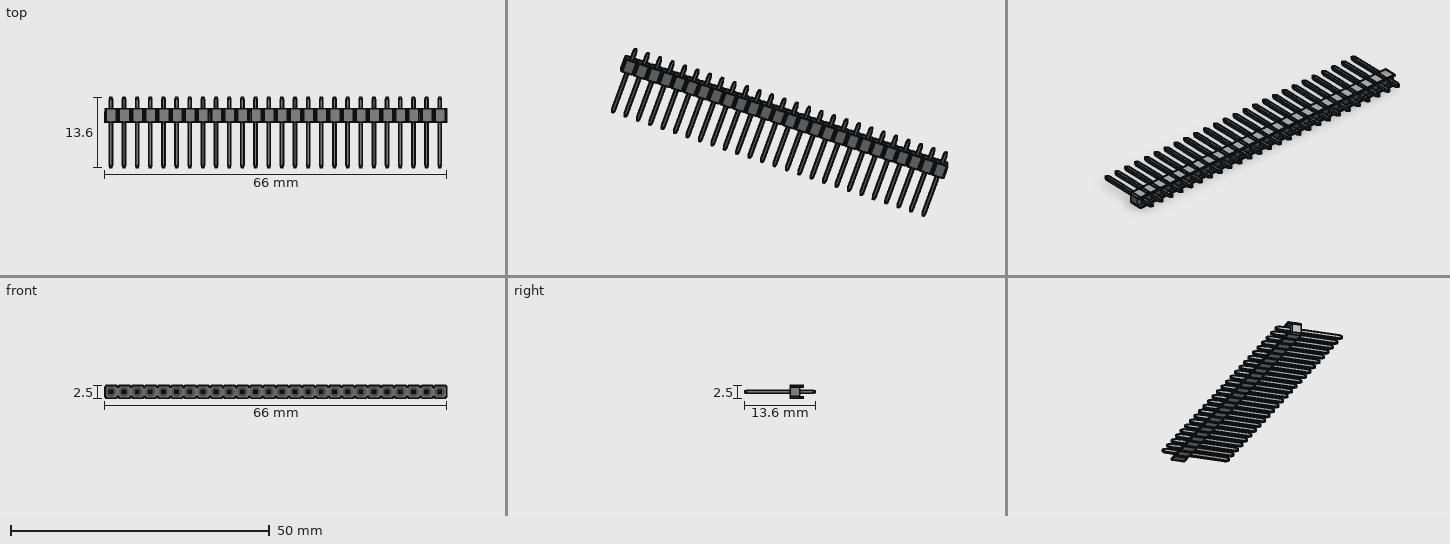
import cadquery as cq


strip_length = 66.05
strip_depth = 2.6
strip_height = 2.5
pin_count = 26
pitch = strip_length / pin_count
notch_depth = 0.4
notch_half_width = 0.3
channel_depth = 0.65
channel_height = 1.85

pin_shift = -0.1
pin_width = 0.64
pin_length = 13.6
rear_reach = 2.25
taper_length = 0.5
tip_width = 0.3

strip_left = -strip_length / 2
strip_right = strip_length / 2
strip_rear = strip_depth / 2
pin_rear = strip_rear + rear_reach


def make_strip():
    """Bar with V notches between its segments and matching bevels at both ends."""
    top = strip_height / 2
    notch_floor = top - notch_depth
    upper = [(strip_left, notch_floor), (strip_left + notch_half_width, top)]
    for i in range(1, pin_count):
        x = strip_left + i * pitch
        upper += [(x - notch_half_width, top), (x, notch_floor), (x + notch_half_width, top)]
    upper += [(strip_right - notch_half_width, top), (strip_right, notch_floor)]
    lower = [(x, -z) for x, z in reversed(upper)]
    return cq.Workplane("XZ").polyline(upper + lower).close().extrude(strip_depth / 2, both=True)


def make_channel():
    """Full-length cutter for the channel in the rear face of the strip."""
    channel = cq.Workplane("XY").box(strip_length, channel_depth, channel_height)
    return channel.translate((0, strip_rear - channel_depth / 2, 0))


def make_pin(x):
    """Square pin tapering to a blunt tip at both ends, centred on the given X."""
    pin = (
        cq.Workplane("XZ", origin=(x, pin_rear - taper_length, 0))
        .rect(pin_width, pin_width)
        .extrude(pin_length - 2 * taper_length)
    )
    for end_face in ("<Y", ">Y"):
        tip = (
            pin.faces(end_face)
            .workplane(centerOption="CenterOfMass")
            .rect(pin_width, pin_width)
            .workplane(offset=taper_length)
            .rect(tip_width, tip_width)
            .loft(ruled=True, combine=False)
        )
        pin = pin.union(tip)
    return pin


first_pin_x = strip_left + pitch / 2 + pin_shift
result = make_strip().cut(make_channel())
for i in range(pin_count):
    result = result.union(make_pin(first_pin_x + i * pitch))